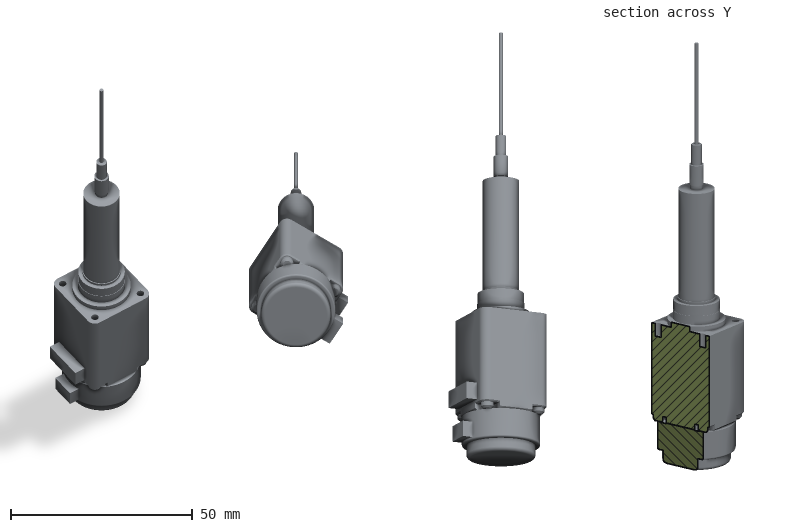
import cadquery as cq


cap_diameter = 19.0
cap_fillet = 1.0
drum_diameter = 21.6
drum_bottom = 3.5
drum_top = 11.6
drum_fillet = 0.5
encoder_connector_width = 7.0
encoder_connector_bottom = 4.2
encoder_connector_height = 4.3

overall_depth = 23.9
connector_reach = overall_depth - drum_diameter / 2

motor_side = 20.0
motor_top = 39.8
motor_corner_radius = 2.3
base_chamfer = 0.6
pilot_diameter = 16.0
pilot_height = 1.5
pilot_top = motor_top + pilot_height
motor_connector_width = 12.1
motor_connector_bottom = 14.4
motor_connector_height = 4.7

bolt_spacing = 15.3
bolt_hole_diameter = 2.0
bolt_hole_depth = 3.6
pocket_width = 5.5
pocket_height = 1.7
pocket_rim_chamfer = 0.4
screw_head_diameter = 3.5
pocket_top = drum_top + pocket_height

needle_tip = 120.7
spindle_steps = [
    (13.0, 43.8),
    (12.8, 46.7),
    (10.5, 47.4),
    (10.0, 78.7),
    (3.5, 79.9),
    (4.0, 85.7),
    (2.9, 91.5),
    (1.0, needle_tip),
]


def cylinder(diameter, bottom, top):
    return cq.Workplane("XY").workplane(offset=bottom).circle(diameter / 2).extrude(top - bottom)


def connector(width, bottom, height):
    """Block from the axis out to the connector plane on the -Y side."""
    block = cq.Workplane("XY").box(width, connector_reach, height, centered=(True, False, False))
    return block.translate((0, -connector_reach, bottom))


def bolt_points(height):
    plane = cq.Workplane("XY").workplane(offset=height)
    return plane.rect(bolt_spacing, bolt_spacing, forConstruction=True).vertices()


def cut_corner_pockets(body):
    """Cut pockets open at the motor's corners, round around the screws, with a chamfered upper rim."""
    pocket = cq.Workplane("XY").box(pocket_width, pocket_width, pocket_height, centered=(True, True, False))
    pocket = pocket.edges("|Z and <X and <Y").fillet(pocket_width / 2)
    pocket = pocket.translate((bolt_spacing / 2, bolt_spacing / 2, drum_top))
    for quarter_turn in range(4):
        body = body.cut(pocket.rotate((0, 0, 0), (0, 0, 1), 90 * quarter_turn))

    tolerance = 0.01
    outer_limit = motor_side / 2 - motor_corner_radius / 2

    def on_rim(edge):
        center = edge.Center()
        at_ceiling = abs(center.z - pocket_top) < tolerance
        return at_ceiling and max(abs(center.x), abs(center.y)) > outer_limit

    return body.edges().filter(on_rim).chamfer(pocket_rim_chamfer)


def make_motor():
    height = motor_top - drum_top
    body = cq.Workplane("XY").workplane(offset=drum_top).rect(motor_side, motor_side).extrude(height)
    body = body.edges("|Z").fillet(motor_corner_radius)
    body = body.faces("<Z").chamfer(base_chamfer)
    body = cut_corner_pockets(body)

    screw_heads = bolt_points(drum_top).circle(screw_head_diameter / 2).extrude(pocket_height)
    body = body.union(screw_heads.faces("<Z").chamfer(base_chamfer))

    body = body.union(cylinder(pilot_diameter, motor_top, pilot_top))
    body = body.union(connector(motor_connector_width, motor_connector_bottom, motor_connector_height))
    return body.cut(bolt_points(motor_top).circle(bolt_hole_diameter / 2).extrude(-bolt_hole_depth))


def make_encoder():
    drum = cylinder(drum_diameter, drum_bottom, drum_top).faces("<Z").edges().fillet(drum_fillet)
    cap = cylinder(cap_diameter, 0, drum_bottom).faces("<Z").edges().fillet(cap_fillet)
    plug = connector(encoder_connector_width, encoder_connector_bottom, encoder_connector_height)
    return drum.union(cap).union(plug)


def make_spindle():
    first_diameter, step_bottom = spindle_steps[0]
    spindle = cylinder(first_diameter, pilot_top, step_bottom)
    for diameter, step_top in spindle_steps[1:]:
        spindle = spindle.union(cylinder(diameter, step_bottom, step_top))
        step_bottom = step_top
    return spindle


motor = make_motor()
encoder = make_encoder()
spindle = make_spindle()

result = cq.Compound.makeCompound([motor.val(), encoder.val(), spindle.val()])